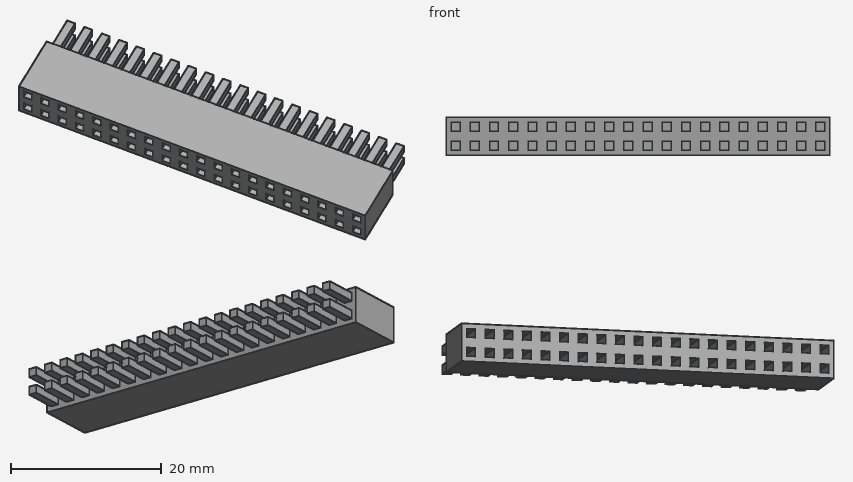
import cadquery as cq

columns = 20
rows = 2
pitch = 2.55
body_length = columns * pitch
body_height = rows * pitch
body_depth = 8.5
total_depth = 13.35
pin_length = total_depth - body_depth
contact_size = 1.15
socket_depth = 5.1

front_y = -total_depth / 2
back_y = front_y + body_depth

contact_centres = [
    ((column - (columns - 1) / 2) * pitch, (row - (rows - 1) / 2) * pitch)
    for column in range(columns)
    for row in range(rows)
]


def square_bars(start_y, length):
    """One square bar per contact, running from start_y toward +Y."""
    return (
        cq.Workplane("XZ")
        .workplane(offset=-start_y)
        .pushPoints(contact_centres)
        .rect(contact_size, contact_size)
        .extrude(-length)
    )


body = (
    cq.Workplane("XY")
    .box(body_length, body_depth, body_height)
    .translate((0, front_y + body_depth / 2, 0))
)
sockets = square_bars(front_y, socket_depth)
pins = square_bars(back_y, pin_length)

result = body.cut(sockets).union(pins)